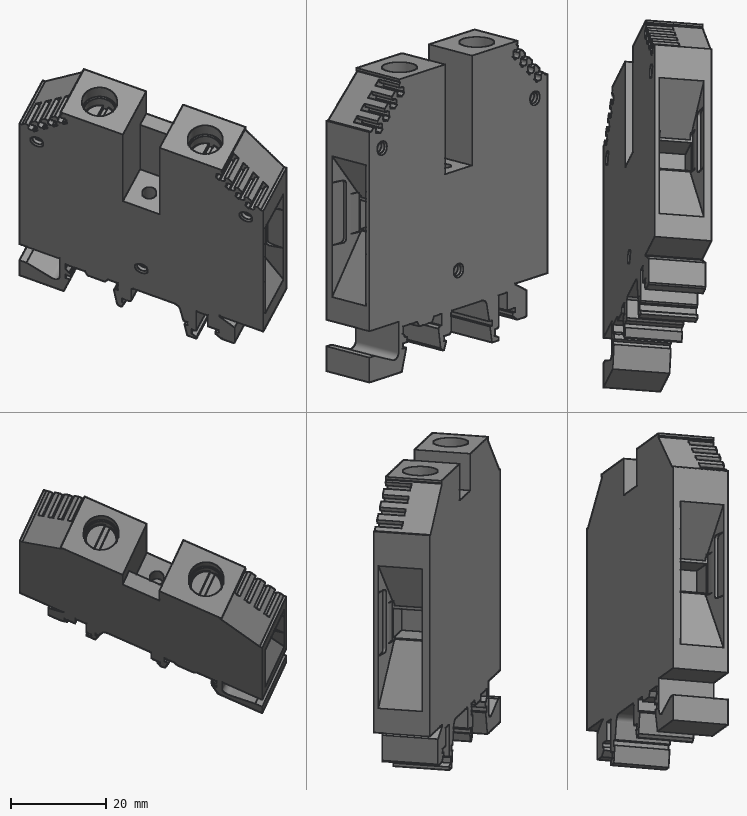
import cadquery as cq

LENGTH = 56.0
THICKNESS = 12.2
HEIGHT = 64.5
HALF_LENGTH = LENGTH / 2
FRONT_Y = -THICKNESS / 2
BACK_Y = THICKNESS / 2
CORE_Y = -0.3

BODY_BOTTOM_Z = 11.3
RAIL_TOP_Z = 9.95
SHOULDER_Z = 55.0
SHOULDER_X = 27.4
BEVEL_TOP_X = 18.3
BEVEL_TOP_Z = 63.7
BEVEL_SLOPE = (BEVEL_TOP_Z - SHOULDER_Z) / (SHOULDER_X - BEVEL_TOP_X)
LIP_X = 18.6
LIP_Z = 64.0

STEM_LEFT_X = -18.8
STEM_RIGHT_X = -17.4
LEVER_TOP_Z = 5.5
PAD_Z = 8.8
SHORT_LEG_LEFT_X = -5.35
SHORT_LEG_RIGHT_X = -2.3
LONG_LEG_RIGHT_X = 12.65
CATCH_TOP_Z = 4.85
CATCH_BOTTOM_Z = 3.7
HOOK_LEFT_X = 15.2
HOOK_RIGHT_X = 21.4
HOOK_BOTTOM_Z = 3.2

NOTCH_WIDTH = 8.45
NOTCH_FLOOR_Z = 40.4
NOTCH_WALL_TOP_Z = 56.5
NOTCH_WALL_THICKNESS = 3.2
NOTCH_HOLE_DIAMETER = 3.0
NOTCH_HOLE_DEPTH = 6.45
NOTCH_HOLE_Y = -1.95

GROOVE_COUNT = 4
GROOVE_PITCH_X = 2.25
GROOVE_FIRST_X = 26.05
GROOVE_LENGTH = 5.7
GROOVE_DEPTH = 2.65
GROOVE_MOUTH = 0.85
GROOVE_NECK = 0.55
GROOVE_LOBE = 1.15
GROOVE_NECK_DEPTH = 0.9
GROOVE_LOBE_DEPTH = 1.55
GROOVE_LOBE_END = 2.2
GROOVE_FLARE_MIDDLE = (0.61, 0.3)

RIVET_DIAMETER = 2.3
RIVET_RIM_DIAMETER = 3.0
RIVET_RIM_DEPTH = 0.4
RIVET_DEPTH = 1.3
RIVET_PLACES = [(-24.0, 50.65), (24.0, 50.65), (0, 18.25)]

SCREW_X = 12.1
WELL_DIAMETER = 7.4
WELL_STEP_DEPTH = 3.3
SCREW_DIAMETER = 6.85
SCREW_DEPTH = 5.8
SCREW_BEVEL = 0.25
SCREW_SLOT_WIDTH = 1.15
SCREW_SLOT_DEPTH = 1.3

ENTRY_DEPTH = 7.5
ENTRY_MOUTH_HALF = 4.8
ENTRY_MOUTH_Z = (16.65, 47.6)
ENTRY_END_HALF = 3.3
ENTRY_END_Z = (29.85, 37.15)
TUNNEL_DEPTH = 6.45
TUNNEL_HALF = 3.55
TUNNEL_Z = (30.1, 36.5)
OUTER_RECESS_DEPTH = 3.6
OUTER_RECESS_Z = (28.0, 41.7)
OUTER_RECESS_FILLET = 0.85
INNER_RECESS_HALF = 3.8
INNER_RECESS_START = 4.5
INNER_RECESS_Z = (29.6, 38.4)


def housing():
    """Housing plate with its feet, extruded through the full thickness."""
    outline = (
        cq.Workplane("XZ", origin=(0, BACK_Y, 0))
        .moveTo(-HALF_LENGTH, BODY_BOTTOM_Z)
        .lineTo(-HALF_LENGTH, SHOULDER_Z)
        .lineTo(-SHOULDER_X, SHOULDER_Z)
        .lineTo(-BEVEL_TOP_X, BEVEL_TOP_Z)
        .lineTo(-LIP_X, LIP_Z)
        .lineTo(-LIP_X, HEIGHT)
        .lineTo(LIP_X, HEIGHT)
        .lineTo(LIP_X, LIP_Z)
        .lineTo(BEVEL_TOP_X, BEVEL_TOP_Z)
        .lineTo(SHOULDER_X, SHOULDER_Z)
        .lineTo(HALF_LENGTH, SHOULDER_Z)
        .lineTo(HALF_LENGTH, BODY_BOTTOM_Z)
        .lineTo(17.85, BODY_BOTTOM_Z)
        .lineTo(18.0, 11.0)
        .lineTo(HOOK_RIGHT_X, 9.0)
        .lineTo(HOOK_RIGHT_X, 3.55)
        .lineTo(21.1, HOOK_BOTTOM_Z)
        .lineTo(18.45, HOOK_BOTTOM_Z)
        .lineTo(17.0, 4.3)
        .lineTo(17.0, 5.0)
        .lineTo(17.75, 5.0)
        .lineTo(17.75, 6.0)
        .lineTo(HOOK_LEFT_X, 6.0)
        .lineTo(HOOK_LEFT_X, RAIL_TOP_Z)
        .lineTo(LONG_LEG_RIGHT_X, RAIL_TOP_Z)
        .lineTo(LONG_LEG_RIGHT_X, 3.0)
        .lineTo(12.3, 2.7)
        .lineTo(11.5, 2.7)
        .lineTo(11.5, 1.3)
        .lineTo(LONG_LEG_RIGHT_X, 0.7)
        .lineTo(LONG_LEG_RIGHT_X, 0)
        .lineTo(10.5, 0)
        .lineTo(9.9, CATCH_BOTTOM_Z)
        .lineTo(10.6, CATCH_BOTTOM_Z)
        .lineTo(10.6, CATCH_TOP_Z)
        .lineTo(9.7, CATCH_TOP_Z)
        .lineTo(8.9, 8.5)
        .threePointArc((8.4, 9.55), (7.35, RAIL_TOP_Z))
        .lineTo(-1.9, RAIL_TOP_Z)
        .lineTo(SHORT_LEG_RIGHT_X, 9.4)
        .lineTo(SHORT_LEG_RIGHT_X, 5.3)
        .lineTo(-2.85, CATCH_TOP_Z)
        .lineTo(-4.45, CATCH_TOP_Z)
        .lineTo(-4.45, CATCH_BOTTOM_Z)
        .lineTo(-3.8, CATCH_BOTTOM_Z)
        .lineTo(-4.5, 1.8)
        .lineTo(-5.0, 1.8)
        .lineTo(-5.6, 2.45)
        .lineTo(-6.3, 6.9)
        .lineTo(-5.8, 7.4)
        .lineTo(SHORT_LEG_LEFT_X, 7.4)
        .lineTo(SHORT_LEG_LEFT_X, RAIL_TOP_Z)
        .lineTo(-7.7, RAIL_TOP_Z)
        .lineTo(-8.3, PAD_Z)
        .lineTo(-12.3, PAD_Z)
        .lineTo(-12.95, RAIL_TOP_Z)
        .lineTo(STEM_RIGHT_X, RAIL_TOP_Z)
        .lineTo(STEM_RIGHT_X, 8.3)
        .lineTo(-16.6, 7.35)
        .lineTo(-16.2, 7.35)
        .lineTo(-16.2, 6.2)
        .lineTo(STEM_RIGHT_X, 6.2)
        .lineTo(STEM_RIGHT_X, 5.0)
        .lineTo(-16.4, 5.0)
        .lineTo(-17.8, 0)
        .lineTo(-HALF_LENGTH, 0)
        .lineTo(-HALF_LENGTH, LEVER_TOP_Z)
        .lineTo(-26.4, LEVER_TOP_Z)
        .lineTo(-20.8, 3.3)
        .threePointArc((-19.35, 3.5), (STEM_LEFT_X, 4.65))
        .lineTo(STEM_LEFT_X, BODY_BOTTOM_Z)
        .close()
    )
    return outline.extrude(THICKNESS)


def notch():
    """Central notch: open at the front, closed at the back by a lower wall."""
    deep_thickness = THICKNESS - NOTCH_WALL_THICKNESS
    deep = cq.Workplane("XY", origin=(0, FRONT_Y + deep_thickness / 2, NOTCH_FLOOR_Z)).box(
        NOTCH_WIDTH, deep_thickness, HEIGHT - NOTCH_FLOOR_Z, centered=(True, True, False)
    )
    above_wall = cq.Workplane("XY", origin=(0, 0, NOTCH_WALL_TOP_Z)).box(
        NOTCH_WIDTH, THICKNESS, HEIGHT - NOTCH_WALL_TOP_Z, centered=(True, True, False)
    )
    hole = (
        cq.Workplane("XY", origin=(0, NOTCH_HOLE_Y, NOTCH_FLOOR_Z))
        .circle(NOTCH_HOLE_DIAMETER / 2)
        .extrude(-NOTCH_HOLE_DEPTH)
    )
    return deep.union(above_wall).union(hole)


def marker_groove(x):
    """Keyhole groove, square to the left bevel, starting at the front face."""
    bevel_point = (x, FRONT_Y, SHOULDER_Z + BEVEL_SLOPE * (x + SHOULDER_X))
    plane = cq.Plane(origin=bevel_point, xDir=(1, 0, BEVEL_SLOPE), normal=(0, -1, 0))
    flare_half, flare_depth = GROOVE_FLARE_MIDDLE
    return (
        cq.Workplane(plane)
        .moveTo(-GROOVE_MOUTH, 0)
        .threePointArc((-flare_half, -flare_depth), (-GROOVE_NECK, -GROOVE_NECK_DEPTH))
        .threePointArc((-GROOVE_LOBE, -GROOVE_LOBE_DEPTH), (-GROOVE_NECK, -GROOVE_LOBE_END))
        .lineTo(-GROOVE_NECK, -GROOVE_DEPTH)
        .lineTo(GROOVE_NECK, -GROOVE_DEPTH)
        .lineTo(GROOVE_NECK, -GROOVE_LOBE_END)
        .threePointArc((GROOVE_LOBE, -GROOVE_LOBE_DEPTH), (GROOVE_NECK, -GROOVE_NECK_DEPTH))
        .threePointArc((flare_half, -flare_depth), (GROOVE_MOUTH, 0))
        .close()
        .extrude(-GROOVE_LENGTH)
    )


def rivet_hole(x, z):
    """Blind hole in the front face with a conical rim."""
    hole_radius = RIVET_DIAMETER / 2
    section = (
        cq.Workplane("XY", origin=(x, FRONT_Y, z))
        .lineTo(RIVET_RIM_DIAMETER / 2, 0)
        .lineTo(hole_radius, RIVET_RIM_DEPTH)
        .lineTo(hole_radius, RIVET_DEPTH)
        .lineTo(0, RIVET_DEPTH)
        .close()
    )
    return section.revolve(360, (0, 0), (0, 1))


def screw_well(x):
    """Stepped well whose floor is the bevelled, slotted head of the clamping screw."""
    well_radius = WELL_DIAMETER / 2
    screw_radius = SCREW_DIAMETER / 2
    step_end = WELL_STEP_DEPTH + well_radius - screw_radius
    well = (
        cq.Workplane("XZ", origin=(x, CORE_Y, HEIGHT))
        .lineTo(well_radius, 0)
        .lineTo(well_radius, -WELL_STEP_DEPTH)
        .lineTo(screw_radius, -step_end)
        .lineTo(screw_radius, -SCREW_DEPTH - SCREW_BEVEL)
        .lineTo(screw_radius - SCREW_BEVEL, -SCREW_DEPTH)
        .lineTo(0, -SCREW_DEPTH)
        .close()
        .revolve(360, (0, 0), (0, 1))
    )
    head = cq.Workplane("XY", origin=(x, CORE_Y, HEIGHT - SCREW_DEPTH))
    slot = (
        head.rect(SCREW_SLOT_WIDTH, SCREW_DIAMETER)
        .extrude(-SCREW_SLOT_DEPTH)
        .intersect(head.circle(screw_radius).extrude(-SCREW_SLOT_DEPTH))
    )
    return well.union(slot)


def entry_block(start, end, half_width, z_range):
    """Box reaching from one depth to another behind the left end face."""
    bottom, top = z_range
    return cq.Workplane("XY", origin=(-HALF_LENGTH + start, CORE_Y, bottom)).box(
        end - start, 2 * half_width, top - bottom, centered=(False, True, False)
    )


def entry_funnel():
    """Rectangular funnel narrowing inwards from the left end face."""
    mouth_bottom, mouth_top = ENTRY_MOUTH_Z
    end_bottom, end_top = ENTRY_END_Z
    mouth_middle = (mouth_bottom + mouth_top) / 2
    end_middle = (end_bottom + end_top) / 2
    return (
        cq.Workplane("YZ", origin=(-HALF_LENGTH, CORE_Y, mouth_middle))
        .rect(2 * ENTRY_MOUTH_HALF, mouth_top - mouth_bottom)
        .workplane(offset=ENTRY_DEPTH)
        .center(0, end_middle - mouth_middle)
        .rect(2 * ENTRY_END_HALF, end_top - end_bottom)
        .loft(ruled=True)
    )


def wire_entry():
    """Funnel in the left end face, recesses in its side walls and a tunnel behind it."""
    tunnel = entry_block(ENTRY_DEPTH, ENTRY_DEPTH + TUNNEL_DEPTH, TUNNEL_HALF, TUNNEL_Z)

    outer_recess = (
        entry_block(0, OUTER_RECESS_DEPTH, ENTRY_MOUTH_HALF, OUTER_RECESS_Z)
        .edges("|Y and >X")
        .fillet(OUTER_RECESS_FILLET)
    )
    inner_recess = entry_block(INNER_RECESS_START, ENTRY_DEPTH, INNER_RECESS_HALF, INNER_RECESS_Z)
    between_walls = entry_block(INNER_RECESS_START, ENTRY_DEPTH, ENTRY_END_HALF, INNER_RECESS_Z)
    return entry_funnel().union(tunnel).union(outer_recess).union(inner_recess.cut(between_walls))


body = housing().cut(notch())

for rivet_x, rivet_z in RIVET_PLACES:
    body = body.cut(rivet_hole(rivet_x, rivet_z))

end_cuts = [screw_well(-SCREW_X), wire_entry()]
for index in range(GROOVE_COUNT):
    end_cuts.append(marker_groove(-GROOVE_FIRST_X + index * GROOVE_PITCH_X))
for cutter in end_cuts:
    body = body.cut(cutter).cut(cutter.mirror("YZ"))

result = body